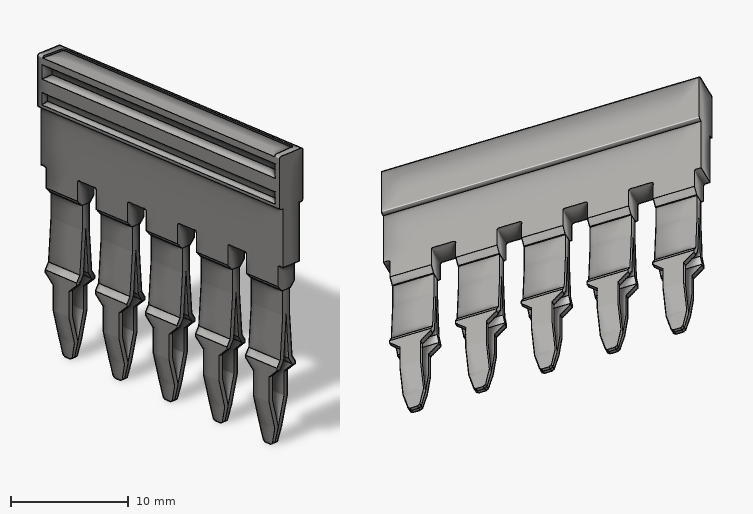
import cadquery as cq

length = 29.4
head_depth = 2.8
head_height = 5.0
head_edge_fillet = 0.24
neck_depth = 1.97
neck_bottom = -10.5

pin_count = 5
pitch = 6.1
tooth_width = 3.82
tooth_bottom = -13.02
tooth_root_fillet = 0.2
tooth_end_depth = 1.0
tooth_chamfer_height = 0.55

recess_depth = 0.18
recess_front_length = 28.17
recess_back_length = 27.93
recess_back_wall = 0.4
recess_corner_fillet = 0.2

slot_length = 28.35
upper_slot_top = -0.82
upper_slot_bottom = -2.18
upper_slot_depth = 0.82
upper_slot_side_taper = 0.4
upper_slot_top_taper = 0.53
upper_slot_bottom_taper = 0.3
lower_slot_top = -3.45
lower_slot_bottom = -4.6
lower_slot_depth = 0.47
lower_slot_side_taper = 0.2
lower_slot_top_taper = 0.0
lower_slot_bottom_taper = 0.25

pin_bottom = -27.95
strip_thickness = 0.4
tip_gap = 0.005
split_top = -15.38
waist_level = -19.45
waist_outer = 0.7
bow_top = -20.08
bow_bottom = -23.55
bow_outer = 1.1
tip_top = -26.22
tip_outer = strip_thickness + tip_gap / 2
tip_end_outer = 0.3
upper_bend_drop = 0.12
lower_bend_rise = 0.05

shoulder_top = -20.32
shoulder_bottom = -21.2
blade_width = 1.9
tip_width = 1.03
tip_corner_chamfer = 0.18


def mirrored(half_outline):
    """The other half of an outline that is symmetric about its vertical axis, in reverse order."""
    return [(-across, z) for across, z in reversed(half_outline)]


def make_head():
    """Bar with its four long edges rounded."""
    head = cq.Workplane("XY").box(length, head_depth, head_height, centered=(True, True, False))
    head = head.translate((0, 0, -head_height))
    return head.edges("|X").fillet(head_edge_fillet)


def make_neck():
    """Plate below the head with chamfered teeth, rounded at the tooth roots."""
    neck = cq.Workplane("XY").box(length, neck_depth, -neck_bottom, centered=(True, True, False))
    neck = neck.translate((0, 0, neck_bottom))
    for x in pin_positions():
        neck = neck.union(make_tooth(x))
    end_margin = tooth_root_fillet / 2
    roots = cq.selectors.BoxSelector(
        (-length / 2 + end_margin, -neck_depth, neck_bottom - end_margin),
        (length / 2 - end_margin, neck_depth, neck_bottom + end_margin),
    )
    return neck.edges(roots).edges("|Y").fillet(tooth_root_fillet)


def make_tooth(x):
    """Tooth below the neck that narrows in depth at its end."""
    chamfer_top = tooth_bottom + tooth_chamfer_height
    back_half = [
        (neck_depth / 2, neck_bottom),
        (neck_depth / 2, chamfer_top),
        (tooth_end_depth / 2, tooth_bottom),
    ]
    outline = back_half + mirrored(back_half)
    tooth = cq.Workplane("YZ").polyline(outline).close().extrude(tooth_width / 2, both=True)
    return tooth.translate((x, 0, 0))


def make_recess():
    """Cutter for the label recess; its ends close in slightly towards the back."""
    front = -head_depth / 2
    back = head_depth / 2 - recess_back_wall
    outline = [
        (-recess_front_length / 2, front),
        (recess_front_length / 2, front),
        (recess_back_length / 2, back),
        (-recess_back_length / 2, back),
    ]
    floor = cq.Workplane("XY", origin=(0, 0, -recess_depth))
    recess = floor.polyline(outline).close().extrude(recess_depth)
    return recess.edges("|Z and >Y").fillet(recess_corner_fillet)


def make_slot(top, bottom, depth, side_taper, top_taper, bottom_taper):
    """Cutter for a front slot that narrows from its mouth to its floor."""
    floor_length = slot_length - 2 * side_taper
    floor_top = top - top_taper
    floor_bottom = bottom + bottom_taper
    mouth_middle = (top + bottom) / 2
    floor_middle = (floor_top + floor_bottom) / 2
    return (
        cq.Workplane("XZ", origin=(0, -head_depth / 2, mouth_middle))
        .rect(slot_length, top - bottom)
        .workplane(offset=-depth)
        .center(0, floor_middle - mouth_middle)
        .rect(floor_length, floor_top - floor_bottom)
        .loft(ruled=True)
    )


def make_housing():
    upper_slot = make_slot(
        upper_slot_top, upper_slot_bottom, upper_slot_depth,
        upper_slot_side_taper, upper_slot_top_taper, upper_slot_bottom_taper,
    )
    lower_slot = make_slot(
        lower_slot_top, lower_slot_bottom, lower_slot_depth,
        lower_slot_side_taper, lower_slot_top_taper, lower_slot_bottom_taper,
    )
    housing = make_head().union(make_neck())
    return housing.cut(make_recess()).cut(upper_slot).cut(lower_slot)


def make_pin_side_profile():
    """Shank that splits into two bent strips, extruded over the tooth width."""
    outer = [
        (strip_thickness, tooth_bottom),
        (strip_thickness, split_top),
        (waist_outer, waist_level),
        (bow_outer, bow_top),
        (bow_outer, bow_bottom),
        (tip_outer, tip_top),
        (tip_end_outer, pin_bottom),
    ]
    inner = [
        (tip_gap / 2, pin_bottom),
        (tip_gap / 2, tip_top + lower_bend_rise),
        (bow_outer - strip_thickness, bow_bottom + lower_bend_rise),
        (bow_outer - strip_thickness, bow_top - upper_bend_drop),
        (waist_outer - strip_thickness, waist_level - upper_bend_drop),
    ]
    back_half = outer + inner
    outline = back_half + [(0, split_top)] + mirrored(back_half)
    return cq.Workplane("YZ").polyline(outline).close().extrude(tooth_width / 2, both=True)


def make_pin_front_profile():
    """Wide shank, narrow blade and tapered tip, extruded through the whole depth."""
    right_half = [
        (tooth_width / 2, tooth_bottom),
        (tooth_width / 2, shoulder_top),
        (blade_width / 2, shoulder_bottom),
        (blade_width / 2, tip_top),
        (tip_width / 2, pin_bottom),
    ]
    outline = right_half + mirrored(right_half)
    blank = cq.Workplane("XZ").polyline(outline).close().extrude(head_depth / 2, both=True)
    return blank.faces("<Z").edges("|Y").chamfer(tip_corner_chamfer)


def make_pin():
    """Shape common to the side profile and the front profile."""
    return make_pin_side_profile().intersect(make_pin_front_profile())


def pin_positions():
    middle = (pin_count - 1) / 2
    return [(index - middle) * pitch for index in range(pin_count)]


housing = make_housing()
pins = [make_pin().translate((x, 0, 0)) for x in pin_positions()]

result = cq.Compound.makeCompound([housing.val(), *[pin.val() for pin in pins]])